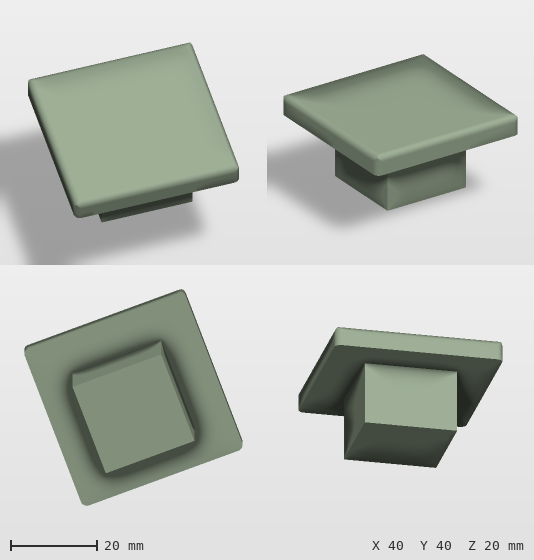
import cadquery as cq

cap_width = 40.0
cap_thickness = 5.0
total_height = 20.0
stem_width = 22.0
edge_radius = 1.5

stem_height = total_height - cap_thickness


def cap_block(rounded_edges):
    """Cap-sized block on top of the stem with the selected edges rounded."""
    return (
        cq.Workplane("XY")
        .workplane(offset=stem_height)
        .rect(cap_width, cap_width)
        .extrude(cap_thickness)
        .edges(rounded_edges)
        .fillet(edge_radius)
    )


stem = cq.Workplane("XY").rect(stem_width, stem_width).extrude(stem_height)

cap = (
    cap_block("|Z")
    .intersect(cap_block("|X and >Z"))
    .intersect(cap_block("|Y and >Z"))
)

result = stem.union(cap)